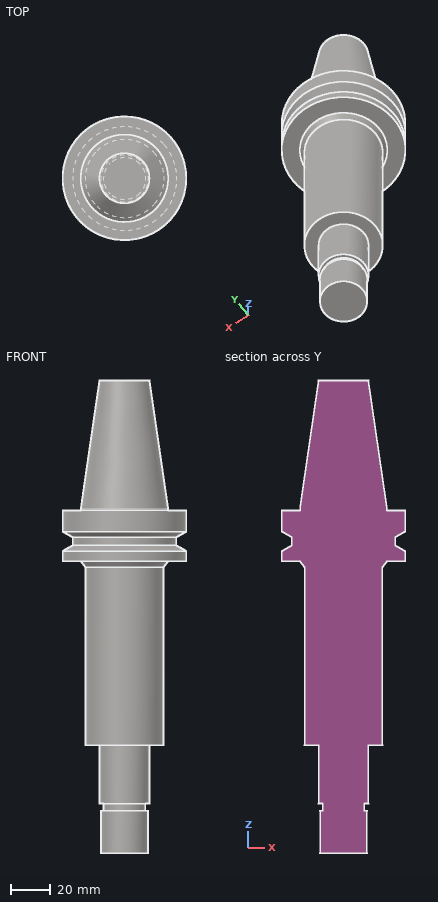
import cadquery as cq

tip_diameter = 24
neck_diameter = 21.5
shank_diameter = 25.5
body_diameter = 40.0
flange_diameter = 63.0
flange_groove_diameter = 53
taper_large_diameter = 44.5
taper_small_diameter = 25.5

total_length = 240.5
tip_length = 21.6
neck_length = 3.5
shank_length = 29.5
body_length = 90.6
shoulder_length = 3.0
lower_flange_length = 5.3
groove_flank_length = 3.0
groove_floor_length = 4.0
upper_flange_length = 10.8
gauge_length = 1.0

sections = [
    (tip_length, tip_diameter, tip_diameter),
    (neck_length, neck_diameter, neck_diameter),
    (shank_length, shank_diameter, shank_diameter),
    (body_length, body_diameter, body_diameter),
    (shoulder_length, body_diameter, taper_large_diameter),
    (lower_flange_length, flange_diameter, flange_diameter),
    (groove_flank_length, flange_diameter, flange_groove_diameter),
    (groove_floor_length, flange_groove_diameter, flange_groove_diameter),
    (groove_flank_length, flange_groove_diameter, flange_diameter),
    (upper_flange_length, flange_diameter, flange_diameter),
    (gauge_length, taper_large_diameter, taper_large_diameter),
]

taper_length = total_length - sum(length for length, _, _ in sections)
sections.append((taper_length, taper_large_diameter, taper_small_diameter))


def half_profile(stacked_sections):
    """Radius and height points of the stacked sections, closed on the axis."""
    points = [(0, 0)]
    height = 0
    for length, bottom_diameter, top_diameter in stacked_sections:
        bottom_point = (bottom_diameter / 2, height)
        height += length
        top_point = (top_diameter / 2, height)
        if bottom_point != points[-1]:
            points.append(bottom_point)
        points.append(top_point)
    points.append((0, height))
    return points


result = (
    cq.Workplane("XZ")
    .polyline(half_profile(sections))
    .close()
    .revolve(360, (0, 0, 0), (0, 1, 0))
)